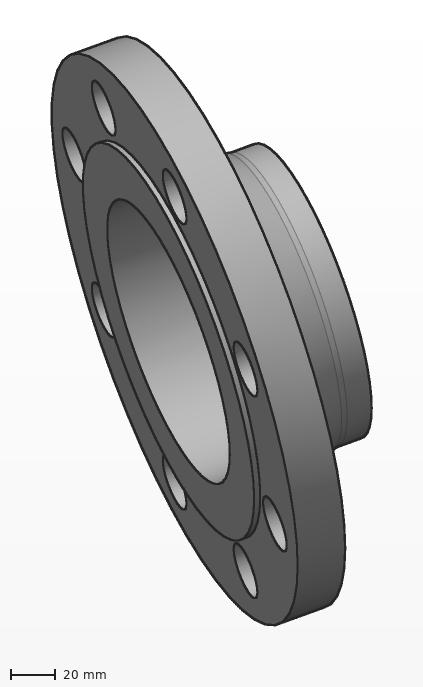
import cadquery as cq

flange_diameter = 270.0
total_length = 68.0
bore_diameter = 134.5

raised_face_diameter = 188.0
raised_face_height = 3.0
plate_thickness = 23.2

pipe_diameter = 139.5
pipe_length = 13.5
hub_base_diameter = 162.0
root_fillet = 7.8
pipe_blend_radius = 8.0

bolt_circle_diameter = 220.0
bolt_hole_diameter = 26.0
bolt_count = 8

plate_back = raised_face_height + plate_thickness
pipe_start = total_length - pipe_length


def make_flange_body():
    """Revolve the half section (radius, Y) about the Y axis."""
    section = (
        cq.Workplane("XY")
        .moveTo(bore_diameter / 2, 0)
        .lineTo(raised_face_diameter / 2, 0)
        .lineTo(raised_face_diameter / 2, raised_face_height)
        .lineTo(flange_diameter / 2, raised_face_height)
        .lineTo(flange_diameter / 2, plate_back)
        .lineTo(hub_base_diameter / 2, plate_back)
        .lineTo(pipe_diameter / 2, pipe_start)
        .lineTo(pipe_diameter / 2, total_length)
        .lineTo(bore_diameter / 2, total_length)
        .close()
    )
    return section.revolve(360, (0, 0, 0), (0, 1, 0))


def circle_edge_at(body, diameter, y):
    """Select the circular edge of the given diameter at position y along the axis."""
    margin = 0.03
    reach = diameter / 2 + margin
    low_corner = (-reach, y - margin, -reach)
    high_corner = (reach, y + margin, reach)
    level_edges = body.edges(cq.selectors.BoxSelector(low_corner, high_corner, boundingbox=True))
    return level_edges.edges(cq.selectors.RadiusNthSelector(-1))


def cut_bolt_holes(body):
    """Drill the evenly spaced bolt holes through the plate."""
    holes = (
        cq.Workplane("XZ")
        .polarArray(bolt_circle_diameter / 2, 0, 360, bolt_count)
        .circle(bolt_hole_diameter / 2)
        .extrude(-total_length)
    )
    return body.cut(holes)


body = make_flange_body()
body = circle_edge_at(body, hub_base_diameter, plate_back).fillet(root_fillet)
body = circle_edge_at(body, pipe_diameter, pipe_start).fillet(pipe_blend_radius)
result = cut_bolt_holes(body)